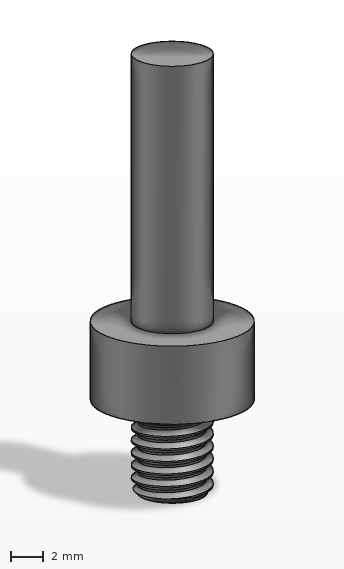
import cadquery as cq
import math

total_length = 28.1
collar_diameter = 10.0
collar_height = 5.0
pin_diameter = 5.0
stud_length = 5.99

thread_major_radius = pin_diameter / 2
thread_minor_radius = 2.1
thread_pitch = 0.8
thread_crest_width = thread_pitch / 8
flank_angle = 35.0
first_crest_height = 0.42
root_overlap = 0.03
crest_clearance = 0.15
extra_turns = 1

thread_depth = thread_major_radius - thread_minor_radius
pin_length = total_length - stud_length - collar_height


def thread_ridge():
    """Helical ridge running past both ends of the stud."""
    start = first_crest_height - (extra_turns + 1) * thread_pitch
    height = stud_length - start + extra_turns * thread_pitch
    inner_radius = thread_minor_radius - root_overlap
    half_crest = thread_crest_width / 2
    half_base = half_crest + (thread_depth + root_overlap) * math.tan(math.radians(flank_angle))
    helix = cq.Wire.makeHelix(thread_pitch, height, thread_minor_radius)
    ridge = (
        cq.Workplane("XZ")
        .polyline([
            (inner_radius, -half_base),
            (thread_major_radius, -half_crest),
            (thread_major_radius, half_crest),
            (inner_radius, half_base),
        ])
        .close()
        .sweep(cq.Workplane(obj=helix), isFrenet=True)
    )
    return ridge.translate((0, 0, start))


def threaded_stud():
    """Stud whose thread tapers at 45 degrees to the core diameter at both ends."""
    core = cq.Workplane("XY").circle(thread_minor_radius).extrude(stud_length)
    envelope = (
        cq.Workplane("XY")
        .circle(thread_major_radius + crest_clearance)
        .extrude(stud_length)
        .faces("<Z or >Z")
        .chamfer(thread_depth + crest_clearance)
    )
    return core.union(envelope.intersect(thread_ridge()))


def collar_and_pin():
    """Plain collar with the smooth pin standing on it."""
    collar = (
        cq.Workplane("XY")
        .workplane(offset=stud_length)
        .circle(collar_diameter / 2)
        .extrude(collar_height)
    )
    return collar.faces(">Z").workplane().circle(pin_diameter / 2).extrude(pin_length)


result = collar_and_pin().union(threaded_stud())